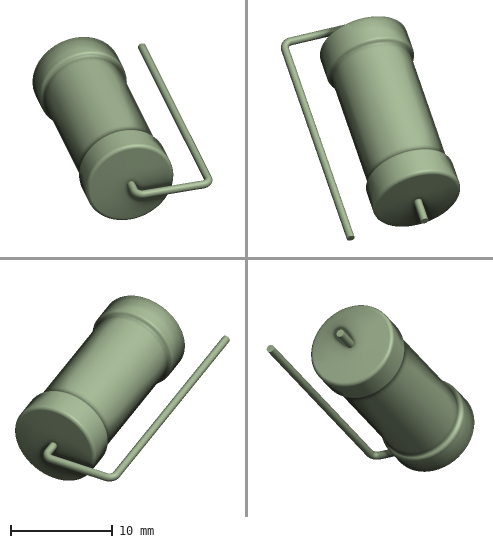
import cadquery as cq
import math

body_length = 20.02
cap_diameter = 9.0
barrel_diameter = 8.2
end_cone_height = 0.12
end_flat_diameter = 1.6
cap_edge_length = 0.35
cap_straight_length = 2.4
cap_shoulder_length = 0.67

wire_diameter = 0.8
lead_tip_x = -12.5
return_wire_x = 12.0
lead_pitch = 7.6
bend_radius = 0.8
lead_insertion = 1.0

half_length = body_length / 2
cap_radius = cap_diameter / 2
barrel_radius = barrel_diameter / 2
end_flat_radius = end_flat_diameter / 2
wire_radius = wire_diameter / 2


def make_body_half():
    """Left half of the body, up to the middle plane, before it is drilled."""
    step = cap_radius - barrel_radius
    cone_base_x = -half_length + end_cone_height
    cap_start_x = cone_base_x + cap_edge_length
    cap_end_x = cap_start_x + cap_straight_length
    barrel_start_x = cap_end_x + cap_shoulder_length

    quarter_mid = math.sqrt(0.5)

    turn_angle = 2 * math.atan(step / cap_shoulder_length)
    arc_radius = cap_shoulder_length / 2 / math.sin(turn_angle)
    arc_mid_x = arc_radius * math.sin(turn_angle / 2)
    arc_mid_drop = arc_radius * (1 - math.cos(turn_angle / 2))
    convex_mid = (cap_end_x + arc_mid_x, cap_radius - arc_mid_drop)
    concave_mid = (barrel_start_x - arc_mid_x, barrel_radius + arc_mid_drop)
    shoulder_middle = (cap_end_x + cap_shoulder_length / 2, cap_radius - step / 2)

    edge_mid = (
        cap_start_x - cap_edge_length * quarter_mid,
        barrel_radius + step * quarter_mid,
    )

    profile = (
        cq.Workplane("XY")
        .moveTo(-half_length, 0)
        .lineTo(-half_length, end_flat_radius)
        .lineTo(cone_base_x, barrel_radius)
        .threePointArc(edge_mid, (cap_start_x, cap_radius))
        .lineTo(cap_end_x, cap_radius)
        .threePointArc(convex_mid, shoulder_middle)
        .threePointArc(concave_mid, (barrel_start_x, barrel_radius))
        .lineTo(0, barrel_radius)
        .lineTo(0, 0)
        .close()
    )
    return profile.revolve(360, (0, 0, 0), (1, 0, 0))


def make_body(leads):
    """Both body halves joined, with a fitted socket for each lead."""
    left_half = make_body_half()
    body = left_half.union(left_half.mirror("YZ"))
    for lead in leads:
        body = body.cut(lead)
    return body


def make_straight_lead():
    length = -half_length + lead_insertion - lead_tip_x
    return cq.Workplane("YZ", origin=(lead_tip_x, 0, 0)).circle(wire_radius).extrude(length)


def make_bent_lead():
    """Lead that leaves the right end, crosses over in +Y and runs back along the body."""
    start_x = half_length - lead_insertion
    bend_start_x = return_wire_x - bend_radius
    bend_inset = bend_radius * (1 - math.sqrt(0.5))
    first_bend_mid = (return_wire_x - bend_inset, bend_inset)
    second_bend_mid = (return_wire_x - bend_inset, lead_pitch - bend_inset)
    path = (
        cq.Workplane("XY")
        .moveTo(start_x, 0)
        .lineTo(bend_start_x, 0)
        .threePointArc(first_bend_mid, (return_wire_x, bend_radius))
        .lineTo(return_wire_x, lead_pitch - bend_radius)
        .threePointArc(second_bend_mid, (bend_start_x, lead_pitch))
        .lineTo(lead_tip_x, lead_pitch)
    )
    return cq.Workplane("YZ", origin=(start_x, 0, 0)).circle(wire_radius).sweep(path)


straight_lead = make_straight_lead()
bent_lead = make_bent_lead()
body = make_body((straight_lead, bent_lead))

result = cq.Compound.makeCompound([body.val(), straight_lead.val(), bent_lead.val()])